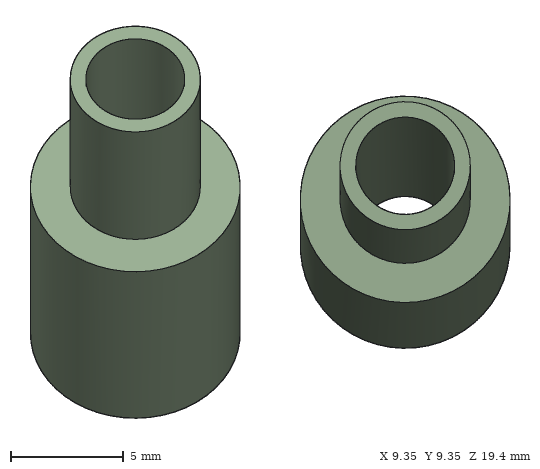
import cadquery as cq

total_height = 19.4
body_height = 11.2
body_diameter = 9.35
neck_diameter = 5.8
bore_diameter = 4.4

neck_height = total_height - body_height

body = cq.Workplane("XY").circle(body_diameter / 2).extrude(body_height)

sleeve = body.faces(">Z").workplane().circle(neck_diameter / 2).extrude(neck_height)

result = sleeve.faces(">Z").workplane().hole(bore_diameter)